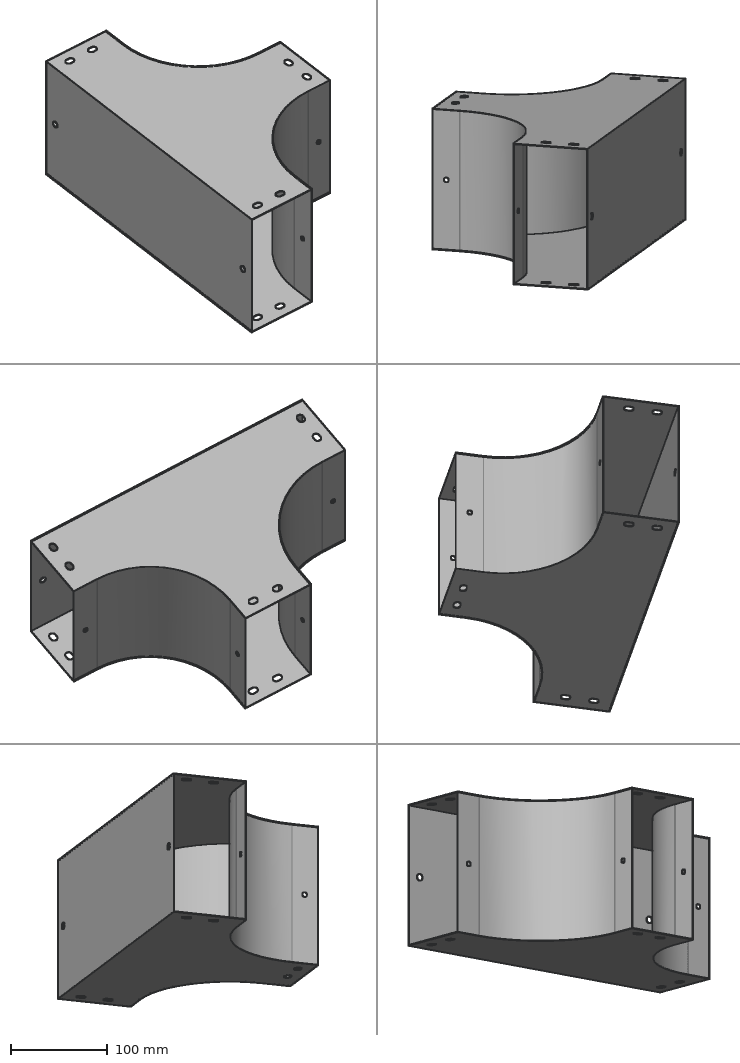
import cadquery as cq
import math

run_length = 338.0
depth = 209.0
height = 150.0
run_width = 80.8
stem_width = 82.0
bend_radius = 99.0
sheet = 1.0

end_offset = 15.0
back_hole_diameter = 7.0
side_hole_diameter = 5.0
slot_width = 7.0
slot_length = 10.0
slot_edge_offset = 20.0
slot_spacing = 30.0

half_run = run_length / 2
half_stem = stem_width / 2
back_y = -depth / 2
stem_end_y = depth / 2
shoulder_y = back_y + run_width
hole_x = half_run - end_offset
stem_hole_y = stem_end_y - end_offset


def tee_prism(inset, overrun, prism_height):
    """Tee centred on Z, walls moved inward by inset and open ends outward by overrun."""
    end_x = half_run + overrun
    end_y = stem_end_y + overrun
    side_x = half_stem - inset
    front_y = shoulder_y - inset
    centre_x = half_stem + bend_radius
    centre_y = shoulder_y + bend_radius
    mid_arc = (bend_radius + inset) * math.sqrt(0.5)
    return (
        cq.Workplane("XY")
        .workplane(offset=-prism_height / 2)
        .moveTo(-end_x, back_y + inset)
        .lineTo(end_x, back_y + inset)
        .lineTo(end_x, front_y)
        .lineTo(centre_x, front_y)
        .threePointArc((centre_x - mid_arc, centre_y - mid_arc), (side_x, centre_y))
        .lineTo(side_x, end_y)
        .lineTo(-side_x, end_y)
        .lineTo(-side_x, centre_y)
        .threePointArc((mid_arc - centre_x, centre_y - mid_arc), (-centre_x, front_y))
        .lineTo(-end_x, front_y)
        .close()
        .extrude(prism_height)
    )


def slot_cutter(points, angle):
    """Slots through both the top and bottom sheets."""
    return (
        cq.Workplane("XY")
        .pushPoints(points)
        .slot2D(slot_length, slot_width, angle)
        .extrude(height, both=True)
    )


def run_hole_cutter(diameter, wall_y):
    """Holes along Y through one run wall, near both ends."""
    return (
        cq.Workplane("XZ", origin=(0, wall_y, 0))
        .pushPoints([(-hole_x, 0), (hole_x, 0)])
        .circle(diameter / 2)
        .extrude(2 * sheet, both=True)
    )


duct = tee_prism(0, 0, height).cut(tee_prism(sheet, sheet, height - 2 * sheet))

first_slot_y = back_y + slot_edge_offset
run_slots = [
    (x, y)
    for x in (-hole_x, hole_x)
    for y in (first_slot_y, first_slot_y + slot_spacing)
]
last_slot_x = half_stem - slot_edge_offset
stem_slots = [(x, stem_hole_y) for x in (last_slot_x - slot_spacing, last_slot_x)]
duct = duct.cut(slot_cutter(run_slots, 90)).cut(slot_cutter(stem_slots, 0))

duct = duct.cut(run_hole_cutter(back_hole_diameter, back_y))
duct = duct.cut(run_hole_cutter(side_hole_diameter, shoulder_y))
stem_holes = (
    cq.Workplane("YZ")
    .center(stem_hole_y, 0)
    .circle(side_hole_diameter / 2)
    .extrude(stem_width, both=True)
)
result = duct.cut(stem_holes)